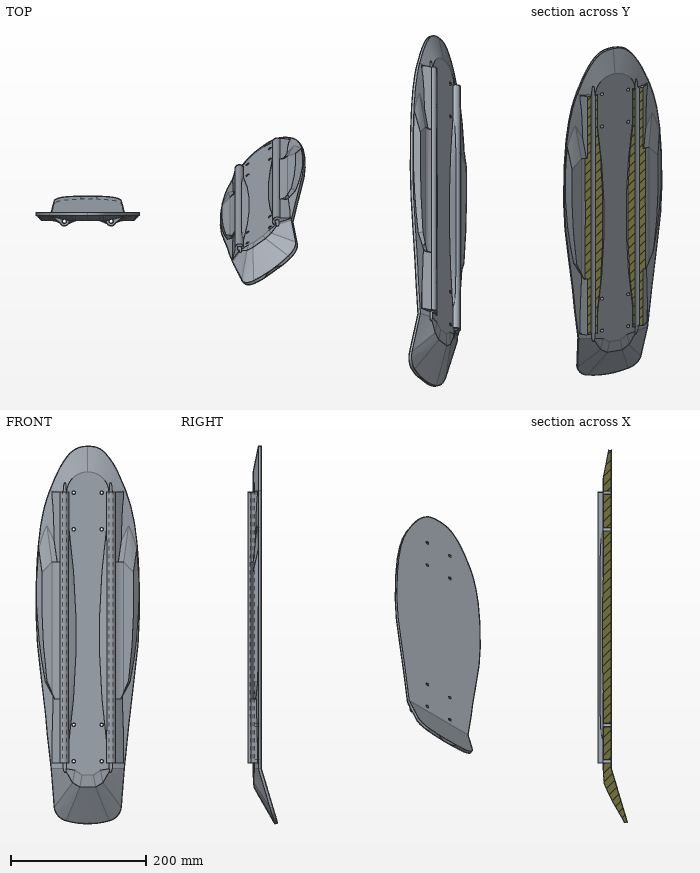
import cadquery as cq
import math

LENGTH = 558.5
RIM_DEPTH = 4.5
BELLY_DEPTH = 12.5

BEND_Z = 81.5
BEND_HALF_WIDTH = 54.0
SIDE_DIRECTION = (0.13, 1.0)
SHOULDER = (56.5, 492.5)
SHOULDER_DIRECTION = (-0.4, 1.0)
SIDE_POINTS = [(64.0, 179.5), (74.5, 263.5), (76.8, 324.0), (75.0, 391.0), (70.0, 440.0)]
NOSE_POINTS = [(39.5, 529.5), (24.5, 549.5)]
TAIL_CORNER = (49.5, 24.5)
TAIL_CORNER_MIDDLE = (44.5, 13.0)
TAIL_END = (32.0, 4.5)

TAIL_RISE = 24.0

BELLY_HALF_WIDTH = 31.5
BELLY_TOP_Z = 520.5

KNEE_DEPTH = 11.0
KNEE_POINTS = [(22.5, 61.0), (12.0, 54.0)]
BELLY_END_POINTS = [(19.0, 79.5), (8.5, 72.0)]

RAIL_X = 34.5
RAIL_DEPTH = 13.1
RAIL_RADIUS = 7.0
RAIL_BORE_DIAMETER = 6.0
RAIL_BOTTOM_Z = 90.0
RAIL_TOP_Z = 490.5
WEB_OUTER_X = 53.0
WEB_OUTER_DEPTH = 6.0
WEB_INNER_X = 40.0
WEB_INNER_DEPTH = 16.0

FLANK_BOTTOM_Z = 123.0
FLANK_MIDDLE_Z = 290.5
FLANK_TOP_Z = 435.5
FLANK_FOOT_X = 17.5
FLANK_CREST_X = 29.0
FLANK_CREST_BOW = 0.5
FLANK_CREST_DEPTH = 17.0

WING_BOTTOM_Z = 184.5
WING_FOOT_TOP_Z = 458.0
WING_CREST_TOP_Z = 387.0
WING_FOOT_TOP_X = 62.5
WING_FOOT_ARC = [(63.0, 210.0), (75.5, 313.0), (72.5, 408.0)]
WING_CREST_ARC = [(60.5, 211.0), (67.0, 290.5), (67.5, 372.0)]
WING_TIP_X = 48.5
WING_TIP_DRAFT = 0.5
FILLET_CORNER_Z = 193.0
FILLET_MIDDLE = (46.5, -13.5)

HOLE_DIAMETER = 4.75
HOLE_X = 20.5
HOLE_ROWS = [93.0, 146.5, 435.5, 490.0]


def mirrored(point):
    """Reflect an (x, z) point to the other side of the board."""
    return (-point[0], point[1])


def layer(depth):
    """Sketch plane parallel to the riding face, at a depth below it."""
    return cq.Workplane("XZ").workplane(offset=depth)


def with_mirror(solid):
    """Join a solid to its copy on the other side of the board."""
    return solid.union(solid.mirror("YZ"))


def deck_outline(plane):
    """Rim outline of the flat part, from the tail bend round the nose."""
    left_shoulder_direction = (SHOULDER_DIRECTION[0], -SHOULDER_DIRECTION[1])
    left_side_end = (SIDE_DIRECTION[0], -SIDE_DIRECTION[1])
    nose = (0, LENGTH)
    return (
        plane.moveTo(-BEND_HALF_WIDTH, BEND_Z)
        .lineTo(BEND_HALF_WIDTH, BEND_Z)
        .spline(SIDE_POINTS + [SHOULDER], tangents=[SIDE_DIRECTION, SHOULDER_DIRECTION], includeCurrent=True)
        .spline(NOSE_POINTS + [nose], tangents=[SHOULDER_DIRECTION, (-1, 0)], includeCurrent=True)
        .spline(
            [mirrored(p) for p in reversed(NOSE_POINTS)] + [mirrored(SHOULDER)],
            tangents=[(-1, 0), left_shoulder_direction],
            includeCurrent=True,
        )
        .spline(
            [mirrored(p) for p in reversed(SIDE_POINTS)] + [(-BEND_HALF_WIDTH, BEND_Z)],
            tangents=[left_shoulder_direction, left_side_end],
            includeCurrent=True,
        )
        .close()
    )


def belly_outline(plane):
    """Flat belly: straight sides closed by a half circle at the nose."""
    arc_z = BELLY_TOP_Z - BELLY_HALF_WIDTH
    diagonal = BELLY_HALF_WIDTH * math.sqrt(0.5)
    return (
        plane.moveTo(-BELLY_HALF_WIDTH, BEND_Z)
        .lineTo(BELLY_HALF_WIDTH, BEND_Z)
        .lineTo(BELLY_HALF_WIDTH, arc_z)
        .threePointArc((diagonal, arc_z + diagonal), (0, BELLY_TOP_Z))
        .threePointArc((-diagonal, arc_z + diagonal), (-BELLY_HALF_WIDTH, arc_z))
        .close()
    )


def tail_outline(plane, slope=1.0, origin_z=0.0):
    """Tail outline; slope stretches Z distances from origin_z onto a tilted plane."""

    def place(point):
        return (point[0], (point[1] - origin_z) * slope)

    bend = (BEND_HALF_WIDTH, BEND_Z)
    return (
        plane.moveTo(*place(mirrored(bend)))
        .lineTo(*place(bend))
        .lineTo(*place(TAIL_CORNER))
        .threePointArc(place(TAIL_CORNER_MIDDLE), place(TAIL_END))
        .threePointArc(place((0, 0)), place(mirrored(TAIL_END)))
        .threePointArc(place(mirrored(TAIL_CORNER_MIDDLE)), place(mirrored(TAIL_CORNER)))
        .close()
    )


def ruled(first, second):
    """Ruled solid between two sketched closed outlines."""
    wires = [first.val(), second.val()]
    return cq.Workplane(cq.Solid.makeLoft(wires, True))


def make_deck():
    rim = deck_outline(layer(0)).extrude(RIM_DEPTH)
    hull = ruled(deck_outline(layer(RIM_DEPTH)), belly_outline(layer(BELLY_DEPTH)))
    return rim.union(hull)


def knee_outline(depth, half_width, points):
    """Six-sided outline hanging below the bend line."""
    right = [(half_width, BEND_Z)] + points
    left = [mirrored(p) for p in right]
    return layer(depth).polyline([left[0]] + right + left[:0:-1]).close()


def make_tail():
    tilt = math.atan2(TAIL_RISE, BEND_Z)
    tip_y = TAIL_RISE - RIM_DEPTH * math.cos(tilt)
    tip_back_z = RIM_DEPTH * math.sin(tilt)
    band = (
        cq.Workplane("YZ")
        .polyline([(0, BEND_Z), (-RIM_DEPTH, BEND_Z), (tip_y, 0), (TAIL_RISE, tip_back_z)])
        .close()
        .extrude(BEND_HALF_WIDTH, both=True)
    )
    blank = tail_outline(layer(-TAIL_RISE)).extrude(TAIL_RISE + RIM_DEPTH)
    run_y = tip_y + RIM_DEPTH
    slope = math.hypot(run_y, BEND_Z) / BEND_Z
    underside = cq.Workplane(cq.Plane((0, -RIM_DEPTH, BEND_Z), (1, 0, 0), (0, -BEND_Z, -run_y)))
    bend_drop = (KNEE_DEPTH - RIM_DEPTH) / (BELLY_DEPTH - RIM_DEPTH)
    knee_half_width = BEND_HALF_WIDTH + bend_drop * (BELLY_HALF_WIDTH - BEND_HALF_WIDTH)
    wedge = ruled(
        tail_outline(underside, slope, BEND_Z),
        knee_outline(KNEE_DEPTH, knee_half_width, KNEE_POINTS),
    )
    bevel = ruled(
        knee_outline(KNEE_DEPTH, knee_half_width, KNEE_POINTS),
        knee_outline(BELLY_DEPTH, BELLY_HALF_WIDTH, BELLY_END_POINTS),
    )
    return blank.intersect(band).union(wedge).union(bevel)


def make_wing():
    """Foot support beside the rail, rising from the rim to belly depth."""
    foot = (
        layer(RIM_DEPTH)
        .moveTo(RAIL_X, WING_BOTTOM_Z)
        .lineTo(WING_TIP_X + WING_TIP_DRAFT, WING_BOTTOM_Z)
        .lineTo(*WING_FOOT_ARC[0])
        .threePointArc(*WING_FOOT_ARC[1:])
        .lineTo(WING_FOOT_TOP_X, WING_FOOT_TOP_Z)
        .lineTo(RAIL_X, WING_FOOT_TOP_Z)
        .close()
    )
    crest = (
        layer(BELLY_DEPTH)
        .moveTo(RAIL_X, WING_BOTTOM_Z)
        .lineTo(WING_TIP_X, WING_BOTTOM_Z)
        .lineTo(*WING_CREST_ARC[0])
        .threePointArc(*WING_CREST_ARC[1:])
        .lineTo(WEB_OUTER_X, WING_CREST_TOP_Z)
        .lineTo(RAIL_X, WING_CREST_TOP_Z)
        .close()
    )
    fillet = (
        cq.Workplane("XY")
        .workplane(offset=WING_BOTTOM_Z)
        .moveTo(RAIL_X, -RAIL_DEPTH)
        .lineTo(RAIL_X, -RIM_DEPTH)
        .lineTo(WEB_OUTER_X, -RIM_DEPTH)
        .lineTo(WEB_OUTER_X, -BELLY_DEPTH)
        .threePointArc(FILLET_MIDDLE, (WEB_INNER_X, -WEB_INNER_DEPTH))
        .close()
        .extrude(WING_CREST_TOP_Z - WING_BOTTOM_Z)
    )
    trim = (
        layer(0)
        .polyline(
            [
                (RAIL_X, WING_BOTTOM_Z),
                (WING_TIP_X, WING_BOTTOM_Z),
                (WEB_OUTER_X, FILLET_CORNER_Z),
                (WEB_OUTER_X, WING_CREST_TOP_Z),
                (RAIL_X, WING_CREST_TOP_Z),
            ]
        )
        .close()
        .extrude(WEB_INNER_DEPTH)
    )
    return ruled(foot, crest).union(fillet.intersect(trim))


def flank_outline(depth, end_x, middle_x):
    """Section of the flank, bowed toward the middle of the board."""
    return (
        layer(depth)
        .moveTo(RAIL_X, FLANK_BOTTOM_Z)
        .lineTo(end_x, FLANK_BOTTOM_Z)
        .threePointArc((middle_x, FLANK_MIDDLE_Z), (end_x, FLANK_TOP_Z))
        .lineTo(RAIL_X, FLANK_TOP_Z)
        .close()
    )


def make_rail():
    rail_length = RAIL_TOP_Z - RAIL_BOTTOM_Z
    base = cq.Workplane("XY").workplane(offset=RAIL_BOTTOM_Z)
    tube = base.center(RAIL_X, -RAIL_DEPTH).circle(RAIL_RADIUS).extrude(rail_length)
    web = (
        base.polyline(
            [
                (RAIL_X, -RIM_DEPTH),
                (WEB_OUTER_X, -RIM_DEPTH),
                (WEB_OUTER_X, -WEB_OUTER_DEPTH),
                (WEB_INNER_X, -WEB_INNER_DEPTH),
                (RAIL_X, -RAIL_DEPTH),
            ]
        )
        .close()
        .extrude(rail_length)
    )
    inner_edge = RAIL_X - RAIL_RADIUS
    flank = ruled(
        flank_outline(BELLY_DEPTH, inner_edge, FLANK_FOOT_X),
        flank_outline(FLANK_CREST_DEPTH, FLANK_CREST_X, FLANK_CREST_X - FLANK_CREST_BOW),
    )
    return tube.union(web).union(flank)


def make_rail_bores():
    """Bores along both rails, running on as grooves where the hull slopes away."""
    bore = cq.Workplane("XY").center(RAIL_X, -RAIL_DEPTH).circle(RAIL_BORE_DIAMETER / 2).extrude(LENGTH)
    return with_mirror(bore)


def make_mounting_holes():
    centers = [(x, z) for x in (-HOLE_X, HOLE_X) for z in HOLE_ROWS]
    return layer(0).pushPoints(centers).circle(HOLE_DIAMETER / 2).extrude(BELLY_DEPTH + RAIL_RADIUS)


result = make_deck().union(make_tail())
result = result.union(with_mirror(make_wing()))
result = result.union(with_mirror(make_rail()))
result = result.cut(make_rail_bores()).cut(make_mounting_holes())